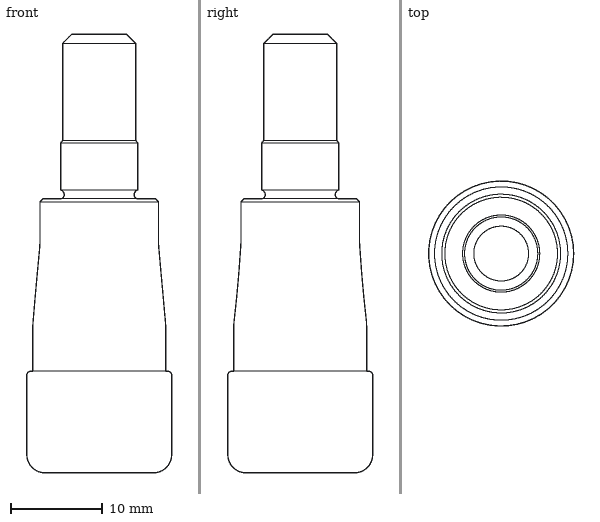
import cadquery as cq
import math

total_height = 48.0
cap_height = 11.15
lower_barrel_height = 16.15
upper_barrel_base = 24.95
shoulder_height = 30.0
collar_base = 30.95
collar_top = 36.4

cap_diameter = 15.9
lower_barrel_diameter = 14.6
upper_barrel_diameter = 13.0
neck_diameter = 7.7
collar_diameter = 8.45
stud_diameter = 8.0

cap_bottom_fillet = 2.0
cap_top_fillet = 0.45
waist_blend_radius = 10.0
shoulder_chamfer = 0.35
neck_fillet = 0.45
collar_taper_length = 0.3
stud_tip_chamfer = 1.0

socket_floor = cap_height / 2

cap_radius = cap_diameter / 2
lower_barrel_radius = lower_barrel_diameter / 2
upper_barrel_radius = upper_barrel_diameter / 2
neck_radius = neck_diameter / 2
collar_radius = collar_diameter / 2
stud_radius = stud_diameter / 2

waist_angle = math.atan2(
    lower_barrel_radius - upper_barrel_radius,
    upper_barrel_base - lower_barrel_height,
)
blend_length = waist_blend_radius * math.tan(waist_angle / 2)
blend_radial = blend_length * math.sin(waist_angle)
blend_axial = blend_length * math.cos(waist_angle)


def make_cap():
    """Round cap with a blind socket for the foot of the body."""
    cap = cq.Workplane("XY").circle(cap_radius).extrude(cap_height)
    cap = cap.faces("<Z").edges().fillet(cap_bottom_fillet)
    cap = cap.faces(">Z").edges().fillet(cap_top_fillet)
    socket = (
        cq.Workplane("XY", origin=(0, 0, socket_floor))
        .circle(lower_barrel_radius)
        .extrude(cap_height - socket_floor)
    )
    return cap.cut(socket)


def make_body():
    """Turned body: barrel, conical waist, shoulder, undercut neck, collar and stud."""
    profile = (
        cq.Workplane("XZ")
        .moveTo(0, socket_floor)
        .lineTo(lower_barrel_radius, socket_floor)
        .lineTo(lower_barrel_radius, lower_barrel_height - blend_length)
        .tangentArcPoint(
            (lower_barrel_radius - blend_radial, lower_barrel_height + blend_axial), relative=False
        )
        .lineTo(upper_barrel_radius + blend_radial, upper_barrel_base - blend_axial)
        .tangentArcPoint((upper_barrel_radius, upper_barrel_base + blend_length), relative=False)
        .lineTo(upper_barrel_radius, shoulder_height - shoulder_chamfer)
        .lineTo(upper_barrel_radius - shoulder_chamfer, shoulder_height)
        .lineTo(neck_radius + neck_fillet, shoulder_height)
        .radiusArc((neck_radius, shoulder_height + neck_fillet), neck_fillet)
        .tangentArcPoint((collar_radius, collar_base), relative=False)
        .lineTo(collar_radius, collar_top - collar_taper_length)
        .lineTo(stud_radius, collar_top)
        .lineTo(stud_radius, total_height - stud_tip_chamfer)
        .lineTo(stud_radius - stud_tip_chamfer, total_height)
        .lineTo(0, total_height)
        .close()
    )
    return profile.revolve(360, (0, 0, 0), (0, 1, 0))


cap = make_cap()
body = make_body()
result = cq.Compound.makeCompound([cap.val(), body.val()])